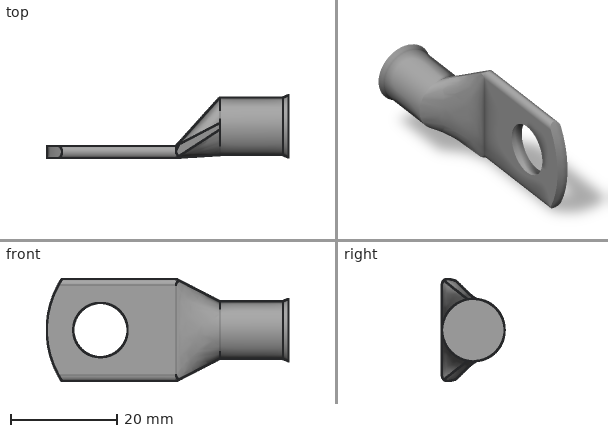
import cadquery as cq
import math


PALM_THICKNESS = 2.3
PALM_WIDTH = 19.3
PALM_LENGTH = 24.4
PALM_END_RADIUS = 17.5
HOLE_DIAMETER = 10.2
HOLE_CENTER_X = 10.15

BARREL_RADIUS = 5.45
BARREL_START_X = 32.65
FLARE_START_X = 44.55
FLARE_RADIUS = 5.9
TOTAL_LENGTH = 45.65
TOTAL_DEPTH = 11.88

STRIP_WIDTH = 1.24

HALF_WIDTH = PALM_WIDTH / 2
EDGE_RADIUS = PALM_THICKNESS / 2
FLAT_HALF_WIDTH = HALF_WIDTH - EDGE_RADIUS
BARREL_CENTER_Y = TOTAL_DEPTH - FLARE_RADIUS
NECK_LENGTH = BARREL_START_X - PALM_LENGTH


def make_palm():
    """Plate with fully rounded long edges, an arc-shaped free end and a bolt hole."""
    plate = (
        cq.Workplane("YZ")
        .center(PALM_THICKNESS / 2, 0)
        .slot2D(PALM_WIDTH, PALM_THICKNESS, 90)
        .extrude(PALM_LENGTH)
    )
    end_drop = PALM_END_RADIUS - math.sqrt(PALM_END_RADIUS**2 - HALF_WIDTH**2)
    outline = (
        cq.Workplane("XZ")
        .moveTo(end_drop, -HALF_WIDTH)
        .threePointArc((0, 0), (end_drop, HALF_WIDTH))
        .lineTo(PALM_LENGTH, HALF_WIDTH)
        .lineTo(PALM_LENGTH, -HALF_WIDTH)
        .close()
        .extrude(-PALM_THICKNESS)
    )
    hole = (
        cq.Workplane("XZ")
        .center(HOLE_CENTER_X, 0)
        .circle(HOLE_DIAMETER / 2)
        .extrude(-PALM_THICKNESS)
    )
    return plate.intersect(outline).cut(hole)


def make_neck_blank():
    """Ruled transition from the palm's rectangle to the barrel's circle with two short chords."""
    strip_half = STRIP_WIDTH / 2
    chord_z = math.sqrt(BARREL_RADIUS**2 - strip_half**2)
    front_y = BARREL_CENTER_Y - strip_half
    back_y = BARREL_CENTER_Y + strip_half
    return (
        cq.Workplane("YZ", origin=(PALM_LENGTH, 0, 0))
        .moveTo(0, -HALF_WIDTH)
        .lineTo(PALM_THICKNESS, -HALF_WIDTH)
        .lineTo(PALM_THICKNESS, HALF_WIDTH)
        .lineTo(0, HALF_WIDTH)
        .close()
        .workplane(offset=NECK_LENGTH)
        .moveTo(front_y, -chord_z)
        .lineTo(back_y, -chord_z)
        .threePointArc((BARREL_CENTER_Y + BARREL_RADIUS, 0), (back_y, chord_z))
        .lineTo(front_y, chord_z)
        .threePointArc((BARREL_CENTER_Y - BARREL_RADIUS, 0), (front_y, -chord_z))
        .close()
        .loft(ruled=True)
    )


def corner_waste(face_y, side, direction):
    """Material outside one rounded palm corner, carried into the neck along a direction.

    face_y is the palm face the corner lies on and side is +1 or -1 for the Z side.
    """
    middle_y = PALM_THICKNESS / 2
    diagonal = EDGE_RADIUS * math.sqrt(0.5)
    arc_y = middle_y + math.copysign(diagonal, face_y - middle_y)
    profile = (
        cq.Workplane("YZ", origin=(PALM_LENGTH, 0, 0))
        .moveTo(face_y, side * FLAT_HALF_WIDTH)
        .lineTo(face_y, side * HALF_WIDTH)
        .lineTo(middle_y, side * HALF_WIDTH)
        .threePointArc((arc_y, side * (FLAT_HALF_WIDTH + diagonal)), (face_y, side * FLAT_HALF_WIDTH))
        .close()
    )
    return cq.Workplane(cq.Solid.extrudeLinear(profile.val(), [], direction))


def make_neck():
    """Neck blank whose start follows the palm's rounded edges."""
    back_rise = BARREL_CENTER_Y + BARREL_RADIUS - PALM_THICKNESS
    front_direction = cq.Vector(NECK_LENGTH, 0, 0)
    back_direction = cq.Vector(NECK_LENGTH, back_rise, 0)
    neck = make_neck_blank()
    for side in (-1, 1):
        neck = neck.cut(corner_waste(0, side, front_direction))
        neck = neck.cut(corner_waste(PALM_THICKNESS, side, back_direction))
    return neck


def make_barrel():
    """Round barrel that flares out as a short cone at its open end."""
    return (
        cq.Workplane("XY")
        .moveTo(BARREL_START_X, 0)
        .lineTo(BARREL_START_X, BARREL_RADIUS)
        .lineTo(FLARE_START_X, BARREL_RADIUS)
        .lineTo(TOTAL_LENGTH, FLARE_RADIUS)
        .lineTo(TOTAL_LENGTH, 0)
        .close()
        .revolve(360, (0, 0, 0), (1, 0, 0))
        .translate((0, BARREL_CENTER_Y, 0))
    )


result = make_palm().union(make_neck()).union(make_barrel())